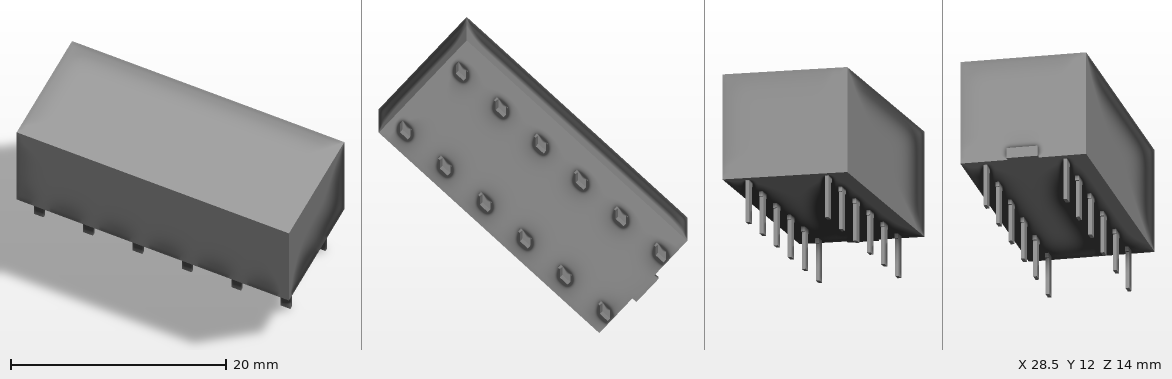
import cadquery as cq

overall_length = 28.5

tab_depth = 0.5
tab_width = 3.0
tab_height = 1.0

case_length = overall_length - tab_depth
case_width = 12.0
case_height = 10.0

pins_per_row = 6
pin_pitch = 5.07
row_spacing = 7.6
pin_width = 1.0
pin_thickness = 0.35
pin_length = 4.0
shoulder_width = 1.42
shoulder_height = 0.45


def box_between(x_min, x_max, y_center, y_size, z_min, z_max):
    """Box given by its X and Z limits and its centred Y size."""
    return cq.Workplane("XY").box(
        x_max - x_min, y_size, z_max - z_min, centered=(False, True, False)
    ).translate((x_min, y_center, z_min))


def make_pin(x, y, shoulder_left, shoulder_right):
    """Flat pin hanging from the case, with shoulders on the chosen sides."""
    half_pin = pin_width / 2
    half_shoulder = shoulder_width / 2
    left = half_shoulder if shoulder_left else half_pin
    right = half_shoulder if shoulder_right else half_pin
    blade = box_between(x - half_pin, x + half_pin, y, pin_thickness, -pin_length, 0)
    shoulder = box_between(x - left, x + right, y, pin_thickness, -shoulder_height, 0)
    return blade.union(shoulder)


case = box_between(-case_length / 2, case_length / 2, 0, case_width, 0, case_height)

tab = box_between(-case_length / 2 - tab_depth, -case_length / 2, 0, tab_width, 0, tab_height)

result = case.union(tab)

first_pin_x = -(pins_per_row - 1) * pin_pitch / 2
last_index = pins_per_row - 1
for row_y in (-row_spacing / 2, row_spacing / 2):
    for index in range(pins_per_row):
        pin_x = first_pin_x + index * pin_pitch
        result = result.union(make_pin(pin_x, row_y, index > 0, index < last_index))